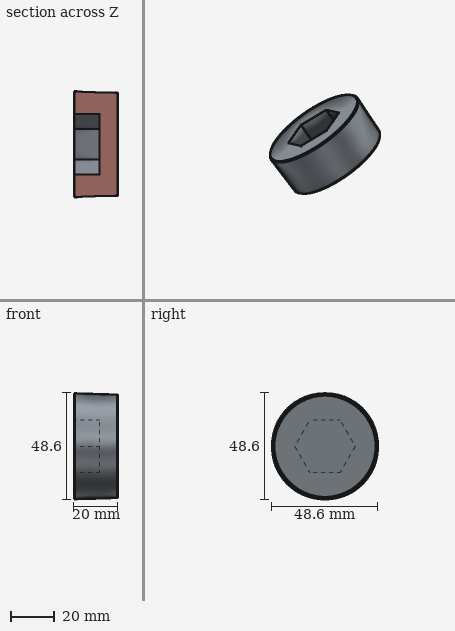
import cadquery as cq
import math

LENGTH = 20.0
LARGE_DIAMETER = 48.6
TAPER = 1 / 16
CHAMFER = 0.5
HEX_ACROSS_FLATS = 24.0
HEX_DEPTH = 11.5

LARGE_END_X = -LENGTH / 2
SMALL_END_X = LENGTH / 2
TAPER_LENGTH = LENGTH - 2 * CHAMFER
LARGE_RADIUS = LARGE_DIAMETER / 2
SMALL_RADIUS = LARGE_RADIUS - TAPER * TAPER_LENGTH / 2
HEX_ACROSS_CORNERS = HEX_ACROSS_FLATS / math.cos(math.pi / 6)


def tapered_body():
    """Cone turned about the X axis, with a 45 degree chamfer at each end."""
    return (
        cq.Workplane("XZ")
        .moveTo(LARGE_END_X, 0)
        .lineTo(LARGE_END_X, LARGE_RADIUS - CHAMFER)
        .lineTo(LARGE_END_X + CHAMFER, LARGE_RADIUS)
        .lineTo(SMALL_END_X - CHAMFER, SMALL_RADIUS)
        .lineTo(SMALL_END_X, SMALL_RADIUS - CHAMFER)
        .lineTo(SMALL_END_X, 0)
        .close()
        .revolve(360, (0, 0, 0), (1, 0, 0))
    )


def hex_socket():
    """Blind hexagonal socket in the large end, with two corners along Y."""
    return (
        cq.Workplane("YZ", origin=(LARGE_END_X, 0, 0))
        .polygon(6, HEX_ACROSS_CORNERS)
        .extrude(HEX_DEPTH)
    )


result = tapered_body().cut(hex_socket())